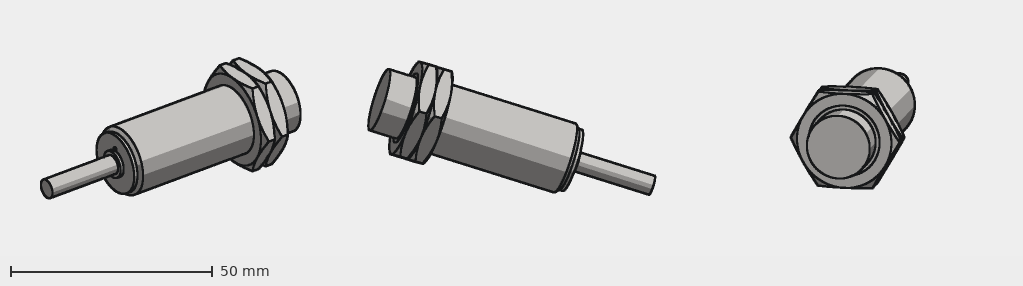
import cadquery as cq
import math


TOTAL_LENGTH = 72.0

NOSE_DIAMETER = 16.0
NOSE_LENGTH = 7.0
BARREL_DIAMETER = 18.0
BARREL_LENGTH = 43.0
END_STEP = (BARREL_DIAMETER - NOSE_DIAMETER) / 2
GLAND_DIAMETER = 7.1
GLAND_LENGTH = 0.9
CABLE_DIAMETER = 5.0

LAMP_RADIUS = 0.5
LAMP_OFFSET = 4.1

NUT_COUNT = 2
NUT_SIDES = 6
NUT_ACROSS_FLATS = 24.0
NUT_THICKNESS = 4.0
NUT_CHAMFER_ANGLE = 30.0

BARREL_END = NOSE_LENGTH + BARREL_LENGTH
CAP_END = BARREL_END + END_STEP
GLAND_END = CAP_END + GLAND_LENGTH


def cylinder(diameter, start, end):
    """Cylinder on the main axis between two distances from the sensing face."""
    return (
        cq.Workplane("XZ", origin=(0, -start, 0))
        .circle(diameter / 2)
        .extrude(end - start)
    )


def make_sensor():
    """Housing, cable gland, cable and indicator lamp as one solid."""
    barrel = cylinder(BARREL_DIAMETER, NOSE_LENGTH, BARREL_END).faces("<Y").chamfer(END_STEP)
    nose = cylinder(NOSE_DIAMETER, 0, NOSE_LENGTH)
    end_cap = cylinder(NOSE_DIAMETER, BARREL_END, CAP_END)
    gland = cylinder(GLAND_DIAMETER, CAP_END, GLAND_END)
    cable = cylinder(CABLE_DIAMETER, GLAND_END, TOTAL_LENGTH)
    lamp = cq.Workplane("XY").sphere(LAMP_RADIUS).translate((0, -CAP_END, LAMP_OFFSET))
    return nose.union(barrel).union(end_cap).union(lamp).union(gland).union(cable)


def make_nut(start):
    """Hexagonal nut with both faces chamfered down to the across-flats circle."""
    flat_radius = NUT_ACROSS_FLATS / 2
    corner_radius = flat_radius / math.cos(math.pi / NUT_SIDES)
    chamfer_depth = (corner_radius - flat_radius) * math.tan(math.radians(NUT_CHAMFER_ANGLE))
    end = start + NUT_THICKNESS

    hexagon = (
        cq.Workplane("XZ", origin=(0, -start, 0))
        .polygon(NUT_SIDES, 2 * corner_radius)
        .extrude(NUT_THICKNESS)
    )
    chamfer_envelope = (
        cq.Workplane("XY")
        .moveTo(0, -start)
        .lineTo(flat_radius, -start)
        .lineTo(corner_radius, -start - chamfer_depth)
        .lineTo(corner_radius, -end + chamfer_depth)
        .lineTo(flat_radius, -end)
        .lineTo(0, -end)
        .close()
        .revolve(360, (0, 0, 0), (0, 1, 0))
    )
    return hexagon.intersect(chamfer_envelope).cut(cylinder(BARREL_DIAMETER, start, end))


sensor = make_sensor()

nuts = [make_nut(NOSE_LENGTH + index * NUT_THICKNESS) for index in range(NUT_COUNT)]

result = cq.Compound.makeCompound([sensor.val(), *[nut.val() for nut in nuts]])